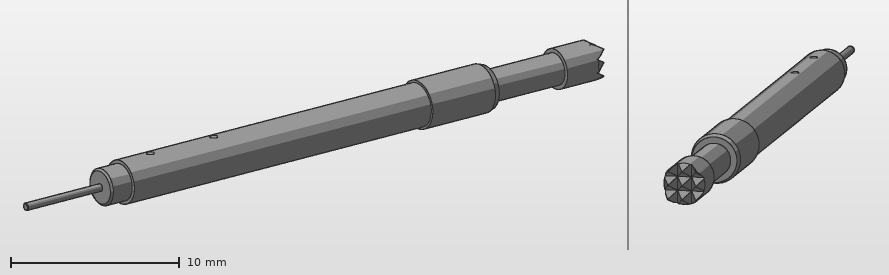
import cadquery as cq
import math


total_length = 42.3
tail_end = 5.55
barrel_end = 7.05
collar_end = 29.1
collar_start = 34.15
head_start = 39.3

wire_diameter = 0.45
tail_diameter = 2.3
barrel_diameter = 2.7
collar_diameter = 3.0
stem_diameter = 2.0
head_diameter = 2.5

wire_chamfer = 0.05
tail_chamfer = 0.13
collar_bevel_length = 0.4
collar_bevel_depth = 0.13

points_per_side = 3
point_pitch = 0.85
point_angle = 60.0

dimple_positions = (9.25, 13.95)
dimple_ball_radius = 0.25
dimple_depth = 0.15


def make_body():
    """Revolve the stepped half profile (y, radius) about the Y axis."""
    wire_radius = wire_diameter / 2
    tail_radius = tail_diameter / 2
    barrel_radius = barrel_diameter / 2
    collar_radius = collar_diameter / 2
    stem_radius = stem_diameter / 2
    head_radius = head_diameter / 2
    profile = [
        (0, 0),
        (0, wire_radius - wire_chamfer),
        (wire_chamfer, wire_radius),
        (tail_end, wire_radius),
        (tail_end, tail_radius - tail_chamfer),
        (tail_end + tail_chamfer, tail_radius),
        (barrel_end, tail_radius),
        (barrel_end, barrel_radius),
        (collar_end, barrel_radius),
        (collar_end, collar_radius),
        (collar_start - collar_bevel_length, collar_radius),
        (collar_start, collar_radius - collar_bevel_depth),
        (collar_start, stem_radius),
        (head_start, stem_radius),
        (head_start, head_radius),
        (total_length, head_radius),
        (total_length, 0),
    ]
    return cq.Workplane("YZ").polyline(profile).close().revolve(360, (0, 0), (1, 0))


def make_crown_cutter():
    """Bar that leaves a row of ridges along Z, their crests at the full length."""
    half_pitch = point_pitch / 2
    valley_depth = half_pitch / math.tan(math.radians(point_angle / 2))
    valley = total_length - valley_depth
    left = -points_per_side * half_pitch
    outline = [(left, valley)]
    for index in range(points_per_side):
        valley_x = left + index * point_pitch
        outline.append((valley_x + half_pitch, total_length))
        outline.append((valley_x + point_pitch, valley))
    above = total_length + valley_depth
    outline += [(-left, above), (left, above)]
    bar = cq.Workplane("XY").polyline(outline).close()
    return bar.extrude(head_diameter, both=True)


def make_dimple(y):
    """Ball that sinks a shallow dimple into the top of the barrel."""
    center_z = barrel_diameter / 2 - dimple_depth + dimple_ball_radius
    return cq.Workplane("XY").sphere(dimple_ball_radius).translate((0, y, center_z))


ridge_cutter = make_crown_cutter()
crossed_cutter = ridge_cutter.rotate((0, 0, 0), (0, 1, 0), 90)
result = make_body().cut(ridge_cutter).cut(crossed_cutter)

for dimple_y in dimple_positions:
    result = result.cut(make_dimple(dimple_y))